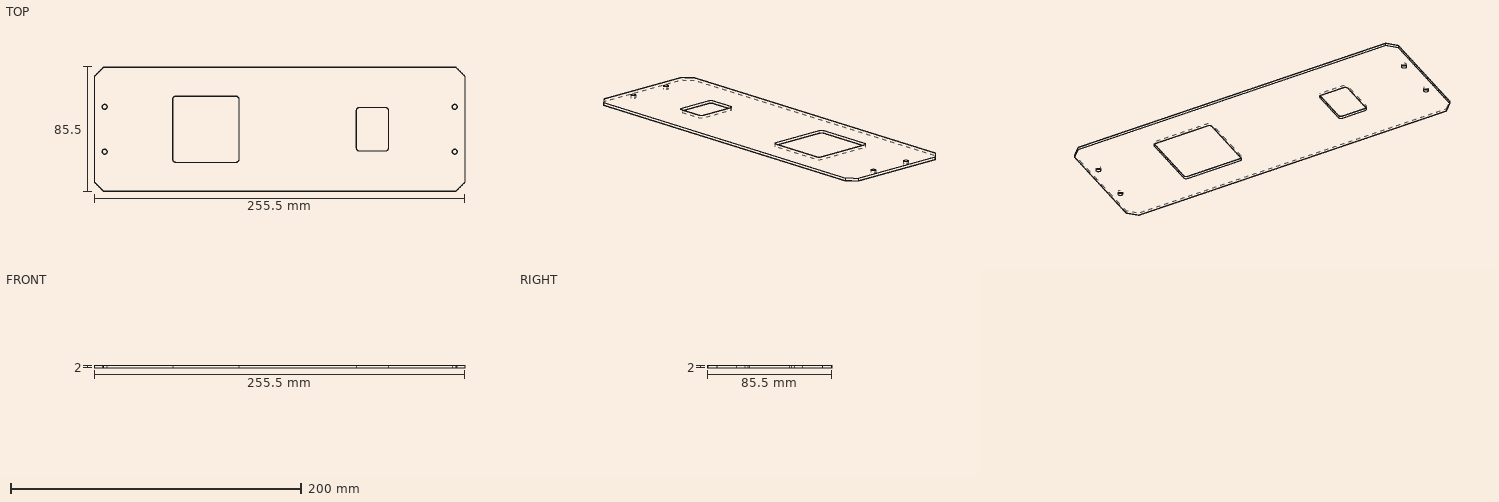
import cadquery as cq

length = 255.5
width = 85.5
thickness = 2.0
corner_chamfer = 6.5

hole_diameter = 3.3
hole_spacing_x = 241.2
hole_spacing_y = 31.0

large_window_size = 45.5
large_window_x = -50.8
small_window_length = 22.0
small_window_width = 30.0
small_window_x = 64.0
window_corner_radius = 2.0


def window(size_x, size_y, center_x):
    """Cutter for a rounded rectangular opening through the plate."""
    return (
        cq.Workplane("XY")
        .center(center_x, 0)
        .rect(size_x, size_y)
        .extrude(thickness)
        .edges("|Z")
        .fillet(window_corner_radius)
    )


plate = (
    cq.Workplane("XY")
    .rect(length, width)
    .extrude(thickness)
    .edges("|Z")
    .chamfer(corner_chamfer)
)

mounting_holes = (
    cq.Workplane("XY")
    .rect(hole_spacing_x, hole_spacing_y, forConstruction=True)
    .vertices()
    .circle(hole_diameter / 2)
    .extrude(thickness)
)

large_window = window(large_window_size, large_window_size, large_window_x)
small_window = window(small_window_length, small_window_width, small_window_x)

result = plate.cut(mounting_holes).cut(large_window).cut(small_window)